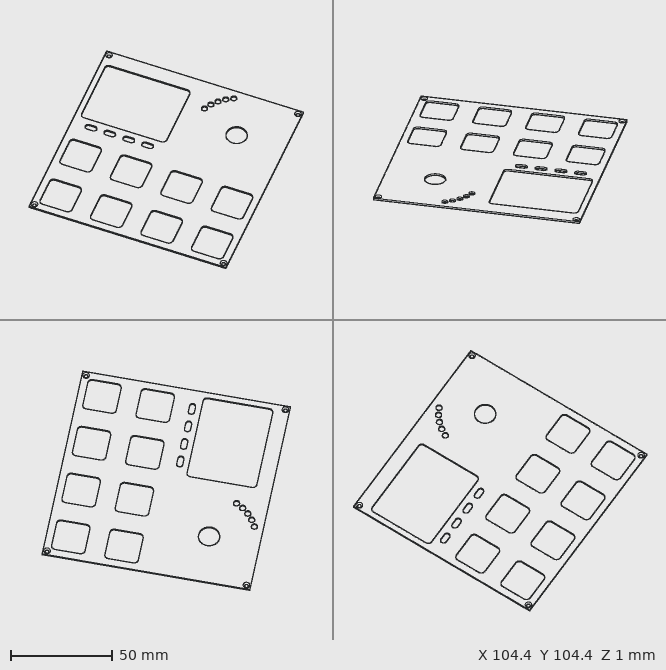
import cadquery as cq
import math

plate_side = 104.35
plate_thickness = 1.0
plate_corner_radius = 0.1

cell_pitch = 26.75
half_pitch = cell_pitch / 2

button_columns = 4
button_rows = 2
button_size = 16.75
button_corner_radius = 2.15

display_width = 45.0
display_height = 35.0
display_corner_radius = 2.0
display_center = (-cell_pitch, cell_pitch)

slot_count = 4
slot_pitch = 10.0
slot_length = 6.0
slot_width = 3.0
slot_row_y = 4.75

knob_diameter = 10.5
knob_center = (cell_pitch, cell_pitch)
indicator_count = 5
indicator_diameter = 3.0
indicator_arc_radius = 23.0
indicator_step_angle = 10.0
indicator_middle_angle = 135.0

screw_diameter = 1.75
screw_head_diameter = 3.25
screw_head_angle = 90.0
screw_edge_distance = 2.1
screw_spacing = plate_side - 2 * screw_edge_distance


def rounded_block(width, height, corner_radius):
    """Block as thick as the plate with rounded vertical edges, centred in X and Y."""
    block = cq.Workplane("XY").rect(width, height).extrude(plate_thickness)
    return block.edges("|Z").fillet(corner_radius)


def make_plate():
    return rounded_block(plate_side, plate_side, plate_corner_radius)


def cut_display(plate):
    window = rounded_block(display_width, display_height, display_corner_radius)
    return plate.cut(window.translate((*display_center, 0)))


def cut_buttons(plate):
    window = rounded_block(button_size, button_size, button_corner_radius)
    first_x = -(button_columns - 1) * half_pitch
    for row in range(button_rows):
        y = -half_pitch - row * cell_pitch
        for column in range(button_columns):
            x = first_x + column * cell_pitch
            plate = plate.cut(window.translate((x, y, 0)))
    return plate


def cut_slots(plate):
    return (
        plate.faces(">Z").workplane(origin=(display_center[0], slot_row_y, 0))
        .rarray(slot_pitch, 1, slot_count, 1)
        .slot2D(slot_length, slot_width)
        .cutThruAll()
    )


def cut_knob_and_indicators(plate):
    first_angle = indicator_middle_angle - (indicator_count - 1) / 2 * indicator_step_angle
    indicator_points = []
    for index in range(indicator_count):
        angle = math.radians(first_angle + index * indicator_step_angle)
        x = indicator_arc_radius * math.cos(angle)
        y = indicator_arc_radius * math.sin(angle)
        indicator_points.append((x, y))
    top = plate.faces(">Z").workplane(origin=(*knob_center, 0))
    plate = top.hole(knob_diameter)
    top = plate.faces(">Z").workplane(origin=(*knob_center, 0))
    return top.pushPoints(indicator_points).hole(indicator_diameter)


def cut_screw_holes(plate):
    return (
        plate.faces(">Z").workplane(origin=(0, 0, 0))
        .rect(screw_spacing, screw_spacing, forConstruction=True)
        .vertices()
        .cskHole(screw_diameter, screw_head_diameter, screw_head_angle)
    )


result = make_plate()
result = cut_display(result)
result = cut_buttons(result)
result = cut_slots(result)
result = cut_knob_and_indicators(result)
result = cut_screw_holes(result)